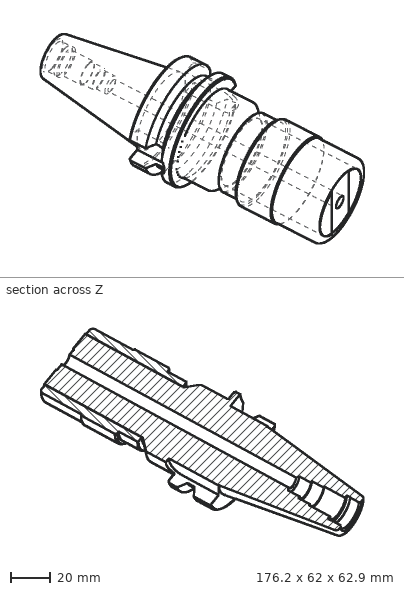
import cadquery as cq
import math

TOTAL_LENGTH = 176.2

TAPER_LENGTH = 65.4
TAPER_LARGE_RADIUS = 22.2
TAPER_RATIO = 7 / 24
TAPER_SMALL_RADIUS = TAPER_LARGE_RADIUS - TAPER_LENGTH * TAPER_RATIO / 2
TAPER_TIP_FILLET = 1.8

FLANGE_DIAMETER = 62.9
FLANGE_RADIUS = FLANGE_DIAMETER / 2
FLANGE_START = 66.5
FLANGE_END = 92.5
FLANGE_CHAMFER = 0.7
GROOVE_RADIUS = 26.5
GROOVE_START = 76.6
GROOVE_END = 86.9
GROOVE_WALL_RUN = 3.0

BODY_RADIUS = 25.4
BODY_END = 109.2
BODY_ROOT_FILLET = 0.5
BODY_EDGE_FILLET = 1.8

NOSE_RADIUS = 19.2
CONE_END = BODY_END + BODY_RADIUS - NOSE_RADIUS
NOSE_PROJECTION = 0.5
NOSE_SLOT_WIDTH = 15.9

DRIVE_SLOT_WIDTH = 16.4
DRIVE_SLOT_FLOOR = 22.5
FRONT_SLOT_TIP = 89.0
BACK_SLOT_TIP = 97.0

MOUTH_RADIUS = 9.5
MOUTH_CHAMFER_DEPTH = 0.9
PILOT_RADIUS = 8.5
PILOT_DEPTH = 6.3
RELIEF_RADIUS = 8.6
RELIEF_DEPTH = 8.3
CLEARANCE_RADIUS = 6.9
CLEARANCE_DEPTH = 21.1
CORE_RADIUS = 6.2
CORE_DEPTH = 28.2
DRILL_RADIUS = 5.1
DRILL_DEPTH = 35.2
COOLANT_RADIUS = 3.5
DRILL_POINT_ANGLE = 118.0
DRILL_POINT_RUN = (DRILL_RADIUS - COOLANT_RADIUS) / math.tan(math.radians(DRILL_POINT_ANGLE / 2))
DRILL_POINT_END = DRILL_DEPTH + DRILL_POINT_RUN

SLEEVE_START = 116.0
SLEEVE_END = TOTAL_LENGTH - NOSE_PROJECTION
COLLAR_RADIUS = 22.7
BAND_RADIUS = 25.0
BAND_START = 127.7
BAND_END = 150.1
BAND_LEAD_RUN = 1.0
BAND_LEAD_RISE = 0.7
GRIP_RADIUS = 24.3
SLEEVE_CHAMFER = 0.5
SLEEVE_END_FILLET = 2.1

SELECTION_MARGIN = 0.02


def revolve_about_x(points):
    """Solid of revolution about X from (x, radius) points."""
    profile = cq.Workplane("XY").polyline(points).close()
    return profile.revolve(360, (0, 0, 0), (1, 0, 0))


def rings_at(x, radius):
    """Selector for the circular edges at x that are no larger than the given radius."""
    reach = radius + SELECTION_MARGIN
    return cq.selectors.BoxSelector(
        (x - SELECTION_MARGIN, -reach, -reach),
        (x + SELECTION_MARGIN, reach, reach),
        boundingbox=True,
    )


def make_holder_blank():
    blank = revolve_about_x([
        (0, 0),
        (0, TAPER_SMALL_RADIUS),
        (TAPER_LENGTH, TAPER_LARGE_RADIUS),
        (FLANGE_START, TAPER_LARGE_RADIUS),
        (FLANGE_START, FLANGE_RADIUS - FLANGE_CHAMFER),
        (FLANGE_START + FLANGE_CHAMFER, FLANGE_RADIUS),
        (GROOVE_START, FLANGE_RADIUS),
        (GROOVE_START + GROOVE_WALL_RUN, GROOVE_RADIUS),
        (GROOVE_END - GROOVE_WALL_RUN, GROOVE_RADIUS),
        (GROOVE_END, FLANGE_RADIUS),
        (FLANGE_END - FLANGE_CHAMFER, FLANGE_RADIUS),
        (FLANGE_END, FLANGE_RADIUS - FLANGE_CHAMFER),
        (FLANGE_END, BODY_RADIUS),
        (BODY_END, BODY_RADIUS),
        (CONE_END, NOSE_RADIUS),
        (TOTAL_LENGTH, NOSE_RADIUS),
        (TOTAL_LENGTH, 0),
    ])
    blank = blank.edges(rings_at(0, TAPER_SMALL_RADIUS)).fillet(TAPER_TIP_FILLET)
    blank = blank.edges(rings_at(FLANGE_END, BODY_RADIUS)).fillet(BODY_ROOT_FILLET)
    return blank.edges(rings_at(BODY_END, BODY_RADIUS)).fillet(BODY_EDGE_FILLET)


def make_drive_slot(tip_x, side):
    """Round-ended slot cutter entering from the taper end; side is +1 for +Y, -1 for -Y."""
    half_width = DRIVE_SLOT_WIDTH / 2
    arc_x = tip_x - half_width
    outline = (
        cq.Workplane("XZ", origin=(0, side * DRIVE_SLOT_FLOOR, 0))
        .moveTo(TAPER_LENGTH, -half_width)
        .lineTo(arc_x, -half_width)
        .threePointArc((tip_x, 0), (arc_x, half_width))
        .lineTo(TAPER_LENGTH, half_width)
        .close()
    )
    return outline.extrude(-side * FLANGE_RADIUS)


def make_bore():
    return revolve_about_x([
        (0, 0),
        (0, MOUTH_RADIUS),
        (MOUTH_CHAMFER_DEPTH, PILOT_RADIUS),
        (PILOT_DEPTH, PILOT_RADIUS),
        (PILOT_DEPTH, RELIEF_RADIUS),
        (RELIEF_DEPTH, RELIEF_RADIUS),
        (RELIEF_DEPTH, CLEARANCE_RADIUS),
        (CLEARANCE_DEPTH, CLEARANCE_RADIUS),
        (CLEARANCE_DEPTH, CORE_RADIUS),
        (CORE_DEPTH, CORE_RADIUS),
        (CORE_DEPTH, DRILL_RADIUS),
        (DRILL_DEPTH, DRILL_RADIUS),
        (DRILL_POINT_END, COOLANT_RADIUS),
        (TOTAL_LENGTH, COOLANT_RADIUS),
        (TOTAL_LENGTH, 0),
    ])


def make_nose_slot():
    """Shallow slot along Z across the end of the nose."""
    cutter = cq.Workplane("XY").box(2 * NOSE_PROJECTION, NOSE_SLOT_WIDTH, 2 * NOSE_RADIUS)
    return cutter.translate((TOTAL_LENGTH, 0, 0))


def make_holder():
    return (
        make_holder_blank()
        .cut(make_drive_slot(FRONT_SLOT_TIP, -1))
        .cut(make_drive_slot(BACK_SLOT_TIP, 1))
        .cut(make_bore())
        .cut(make_nose_slot())
    )


def make_sleeve():
    """Stepped ring fitted over the nose."""
    ring = revolve_about_x([
        (SLEEVE_START, NOSE_RADIUS),
        (SLEEVE_START, COLLAR_RADIUS - SLEEVE_CHAMFER),
        (SLEEVE_START + SLEEVE_CHAMFER, COLLAR_RADIUS),
        (BAND_START, COLLAR_RADIUS),
        (BAND_START, BAND_RADIUS - BAND_LEAD_RISE),
        (BAND_START + BAND_LEAD_RUN, BAND_RADIUS),
        (BAND_END - SLEEVE_CHAMFER, BAND_RADIUS),
        (BAND_END, GRIP_RADIUS),
        (SLEEVE_END, GRIP_RADIUS),
        (SLEEVE_END, NOSE_RADIUS),
    ])
    end_edges = ring.edges(rings_at(SLEEVE_END, GRIP_RADIUS))
    return end_edges.edges(cq.selectors.RadiusNthSelector(-1)).fillet(SLEEVE_END_FILLET)


holder = make_holder()
sleeve = make_sleeve()

result = cq.Compound.makeCompound([holder.val(), sleeve.val()])